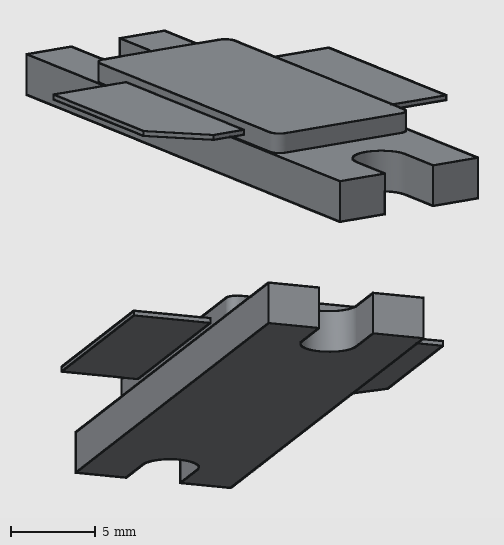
import cadquery as cq

flange_length = 34.1
flange_width = 9.75
flange_thickness = 2.5
slot_width = 3.4
slot_straight_depth = 3.0

body_length = 19.8
body_width = 9.5
body_corner_radius = 0.7
frame_height = 0.4
total_height = 3.7
lid_height = total_height - flange_thickness - frame_height

lead_width = 12.8
lead_thickness = 0.3
lead_span = 19.43
lead_tip_back = 9.55
lead_tip_front = lead_tip_back - lead_span
lead_chamfer = 3.0

frame_base = flange_thickness
lid_base = frame_base + frame_height


def make_flange():
    """Rectangular plate with a round-ended slot open at each end."""
    flange = cq.Workplane("XY").box(
        flange_length, flange_width, flange_thickness, centered=(True, True, False)
    )
    slot_length = 2 * slot_straight_depth + slot_width
    slots = (
        cq.Workplane("XY")
        .pushPoints([(-flange_length / 2, 0), (flange_length / 2, 0)])
        .slot2D(slot_length, slot_width)
        .extrude(flange_thickness)
    )
    return flange.cut(slots)


def make_body_layer(base, height):
    """One layer of the package body with rounded vertical corners."""
    return (
        cq.Workplane("XY", origin=(0, 0, base))
        .rect(body_length, body_width)
        .extrude(height)
        .edges("|Z")
        .fillet(body_corner_radius)
    )


def make_leads():
    """Both leads as one strip through the body, with one chamfered front corner."""
    half_width = lead_width / 2
    return (
        cq.Workplane("XY", origin=(0, 0, lid_base))
        .moveTo(-half_width, lead_tip_front)
        .lineTo(half_width - lead_chamfer, lead_tip_front)
        .lineTo(half_width, lead_tip_front + lead_chamfer)
        .lineTo(half_width, lead_tip_back)
        .lineTo(-half_width, lead_tip_back)
        .close()
        .extrude(lead_thickness)
    )


frame = make_body_layer(frame_base, frame_height)
lid = make_body_layer(lid_base, lid_height)

result = make_flange().union(frame, clean=False).union(lid, clean=False).union(make_leads(), clean=False)